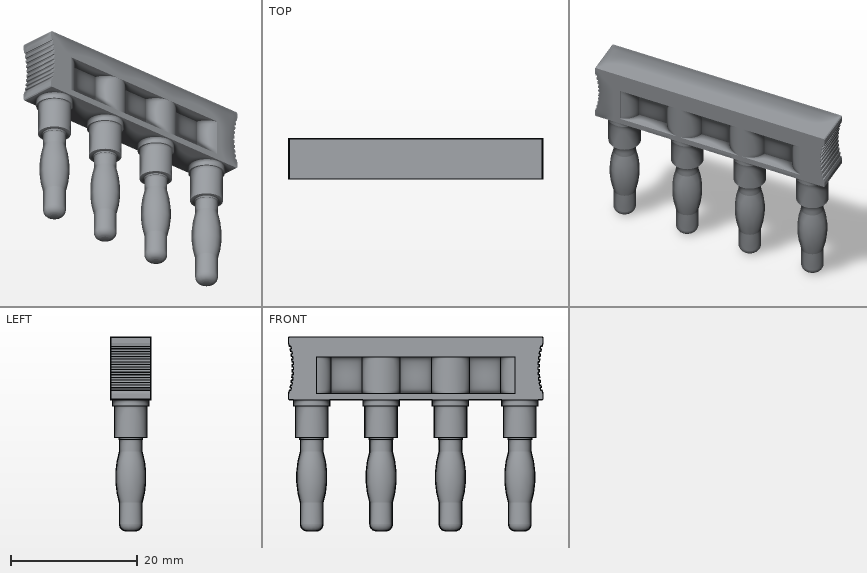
import cadquery as cq
import math


bar_length = 40.4
bar_depth = 6.4
bar_height = 10.0
bar_edge_chamfer = 0.15

pin_count = 4
pin_pitch = 11.0
pin_centers = [(i - (pin_count - 1) / 2) * pin_pitch for i in range(pin_count)]

pocket_bottom = 1.0
pocket_top = 6.8
pocket_end_offset = 0.75
pocket_length = 2 * (pin_centers[-1] - pocket_end_offset)
pocket_height = pocket_top - pocket_bottom
web_thickness = 2.0
column_radius = 3.2

grip_height = 8.0
grip_depth = 0.6
grip_radius = ((grip_height / 2) ** 2 + grip_depth**2) / (2 * grip_depth)
grip_axis_x = bar_length / 2 - grip_depth + grip_radius
grip_axis_z = bar_height / 2
groove_count = 9
groove_pitch = 0.82
groove_width = 0.4
groove_depth = 0.2

collar_radius = 2.9
collar_height = 1.0
sleeve_radius = 2.6
sleeve_bottom = -6.0

shoulder_radius = 1.9
shoulder_height = 0.25
pin_radius = 1.8
bulge_radius = 2.4
bulge_top = -8.2
bulge_bottom = -16.3
pin_bottom = -20.8
tip_radius = 1.1


def make_pockets():
    """Pockets in the front and back faces, leaving the web and the columns standing."""
    window = cq.Workplane("XY").workplane(offset=pocket_bottom).rect(pocket_length, bar_depth)
    web = cq.Workplane("XY").workplane(offset=pocket_bottom).rect(bar_length, web_thickness)
    columns = (
        cq.Workplane("XY")
        .workplane(offset=pocket_bottom)
        .pushPoints([(x, 0) for x in pin_centers])
        .circle(column_radius)
    )
    return (
        window.extrude(pocket_height)
        .cut(web.extrude(pocket_height))
        .cut(columns.extrude(pocket_height))
    )


def make_grip_cutter():
    """Cylinder that hollows the +X end, with raised ribs that cut the grooves."""

    def cylinder(radius):
        return (
            cq.Workplane("XZ")
            .center(grip_axis_x, grip_axis_z)
            .circle(radius)
            .extrude(bar_depth / 2, both=True)
        )

    spoke_length = grip_radius + 2 * groove_depth
    ribs = cq.Workplane("XY")
    for i in range(groove_count):
        angle = math.degrees((i - (groove_count - 1) / 2) * groove_pitch / grip_radius)
        spoke = (
            cq.Workplane("XY")
            .box(spoke_length, bar_depth, groove_width, centered=(False, True, True))
            .rotate((0, 0, 0), (0, 1, 0), 180 + angle)
            .translate((grip_axis_x, 0, grip_axis_z))
        )
        ribs = ribs.add(spoke)
    ribs = ribs.combine().intersect(cylinder(grip_radius + groove_depth))
    return cylinder(grip_radius).union(ribs)


def make_housing():
    """Bar with its pockets, end grips and one stepped sleeve per pin."""
    bar = cq.Workplane("XY").box(bar_length, bar_depth, bar_height, centered=(True, True, False))
    bar = bar.edges("|Y").chamfer(bar_edge_chamfer)
    bar = bar.cut(make_pockets())

    right_grip = make_grip_cutter()
    bar = bar.cut(right_grip).cut(right_grip.mirror("YZ"))

    for x in pin_centers:
        collar = cq.Workplane("XY").center(x, 0).circle(collar_radius).extrude(-collar_height)
        sleeve = cq.Workplane("XY").center(x, 0).circle(sleeve_radius).extrude(sleeve_bottom)
        bar = bar.union(collar).union(sleeve)
    return bar


def make_contact_pin(x):
    """Turned pin with a barrel-shaped bulge, standing against the end of its sleeve."""
    shoulder_bottom = sleeve_bottom - shoulder_height
    profile = (
        cq.Workplane("XZ")
        .moveTo(0, sleeve_bottom)
        .lineTo(shoulder_radius, sleeve_bottom)
        .lineTo(shoulder_radius, shoulder_bottom)
        .lineTo(pin_radius, shoulder_bottom)
        .lineTo(pin_radius, bulge_top)
        .threePointArc((bulge_radius, (bulge_top + bulge_bottom) / 2), (pin_radius, bulge_bottom))
        .lineTo(pin_radius, pin_bottom + tip_radius)
        .radiusArc((pin_radius - tip_radius, pin_bottom), tip_radius)
        .lineTo(0, pin_bottom)
        .close()
    )
    return profile.revolve(360, (0, 0, 0), (0, 1, 0)).translate((x, 0, 0))


housing = make_housing()
contact_pins = [make_contact_pin(x) for x in pin_centers]

result = cq.Compound.makeCompound([housing.solids().val(), *[pin.val() for pin in contact_pins]])